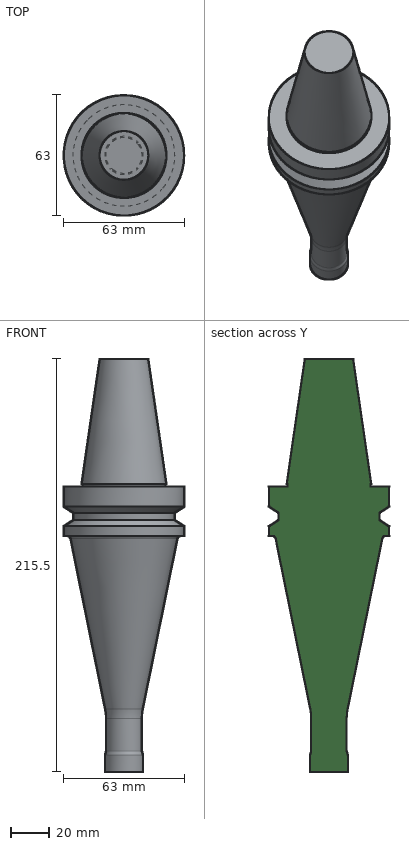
import cadquery as cq

total_height = 215.5
collar_height = 8.8
collar_chamfer_height = 2.2
body_bottom = 30.4
flange_bottom = 123.0
lower_rim_top = 128.2
groove_chamfer_height = 3.2
upper_rim_bottom = 138.3
flange_top = 148.8
taper_bottom = 150.1

collar_diameter = 20.0
shank_diameter = 18.7
body_top_diameter = 56.5
flange_diameter = 63.0
groove_diameter = 53.0
neck_diameter = 43.5
taper_large_diameter = 44.4
taper_small_diameter = 25.5

shank_fillet = 25.0
flange_fillet = 1.7

profile = [
    (collar_diameter, 0),
    (collar_diameter, collar_height),
    (shank_diameter, collar_height + collar_chamfer_height),
    (shank_diameter, body_bottom),
    (body_top_diameter, flange_bottom),
    (flange_diameter, flange_bottom),
    (flange_diameter, lower_rim_top),
    (groove_diameter, lower_rim_top + groove_chamfer_height),
    (groove_diameter, upper_rim_bottom - groove_chamfer_height),
    (flange_diameter, upper_rim_bottom),
    (flange_diameter, flange_top),
    (neck_diameter, flange_top),
    (neck_diameter, taper_bottom),
    (taper_large_diameter, taper_bottom),
    (taper_small_diameter, total_height),
]


def fillet_ring(body, diameter, height, radius):
    """Round the circular edge of the given diameter at the given height."""
    margin = 0.1
    outer = diameter / 2 + margin
    ring_box = cq.selectors.BoxSelector(
        (-outer, -outer, height - margin), (outer, outer, height + margin), boundingbox=True
    )
    return body.edges(ring_box).fillet(radius)


half_profile = [(0, 0)]
half_profile += [(diameter / 2, height) for diameter, height in profile]
half_profile += [(0, total_height)]
holder = cq.Workplane("XZ").polyline(half_profile).close().revolve(360, (0, 0, 0), (0, 1, 0))

holder = fillet_ring(holder, shank_diameter, body_bottom, shank_fillet)
result = fillet_ring(holder, body_top_diameter, flange_bottom, flange_fillet)